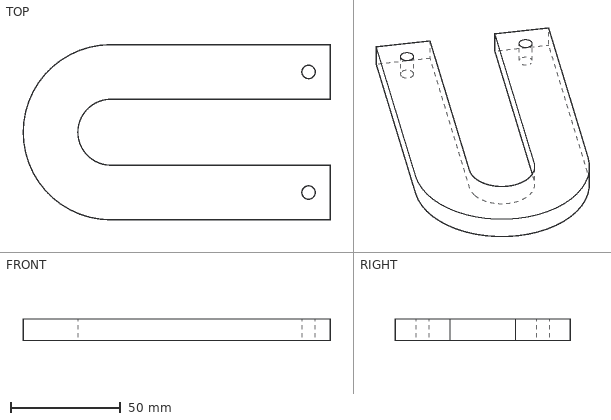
import cadquery as cq

length = 140.0
width = 80.0
thickness = 10.0
gap = 30.0
hole_diameter = 6.0
hole_inset = 10.0

outer_radius = width / 2
inner_radius = gap / 2
arm_end = length - outer_radius
arm_center = (outer_radius + inner_radius) / 2


def rounded_tongue(radius):
    """Plate from a half-round end at -X to a square end at the arm ends."""
    return (
        cq.Workplane("XY")
        .moveTo(arm_end, radius)
        .lineTo(0, radius)
        .threePointArc((-radius, 0), (0, -radius))
        .lineTo(arm_end, -radius)
        .close()
        .extrude(thickness)
    )


u_plate = rounded_tongue(outer_radius).cut(rounded_tongue(inner_radius))

hole_x = arm_end - hole_inset
holes = (
    cq.Workplane("XY")
    .pushPoints([(hole_x, side * arm_center) for side in (-1, 1)])
    .circle(hole_diameter / 2)
    .extrude(thickness)
)

result = u_plate.cut(holes)